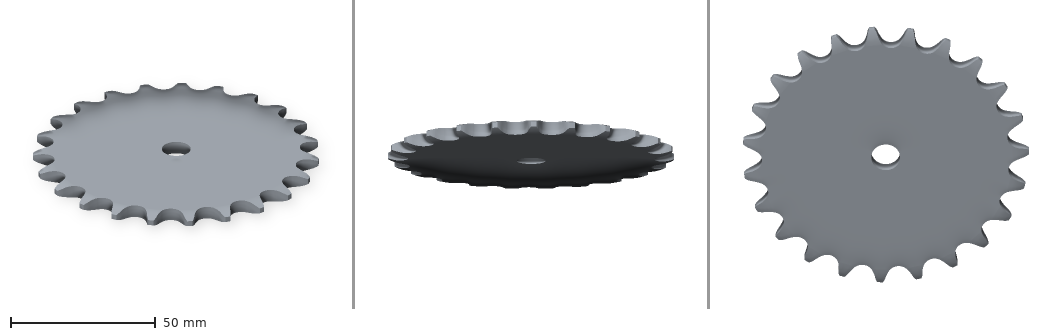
import cadquery as cq
import math

TOOTH_COUNT = 23
CHAIN_PITCH = 12.7
ROLLER_DIAMETER = 7.75
TIP_DIAMETER = 99.0
THICKNESS = 4.5
BORE_DIAMETER = 10.0
FACE_ROUND_RADIUS = 13.0
FACE_ROUND_DEPTH = 1.3

SEAT_ALLOWANCE = 0.0381
SEAT_RADIUS = 0.5025 * ROLLER_DIAMETER + SEAT_ALLOWANCE
WORKING_CENTRE_OFFSET = 0.8 * ROLLER_DIAMETER
WORKING_RADIUS = WORKING_CENTRE_OFFSET + SEAT_RADIUS
TOPPING_CENTRE_OFFSET = 1.4 * ROLLER_DIAMETER
SEAT_ANGLE = math.radians(35 + 60 / TOOTH_COUNT)
WORKING_ANGLE = math.radians(18 - 56 / TOOTH_COUNT)

TOOTH_ANGLE = 2 * math.pi / TOOTH_COUNT
PITCH_RADIUS = CHAIN_PITCH / 2 / math.sin(TOOTH_ANGLE / 2)
TIP_RADIUS = TIP_DIAMETER / 2
FIRST_GAP_ANGLE = math.pi / 2


def polar(centre, radius, angle):
    """Point at a distance and direction from a centre."""
    return (centre[0] + radius * math.cos(angle), centre[1] + radius * math.sin(angle))


def mirrored(point):
    """Point reflected in the Y axis."""
    return (-point[0], point[1])


def gap_cutter():
    """Tooth gap centred on +Y, running out past the tooth tips."""
    seat_centre = (0, PITCH_RADIUS)
    seat_bottom = (0, PITCH_RADIUS - SEAT_RADIUS)
    working_centre = polar(seat_centre, WORKING_CENTRE_OFFSET, math.pi - SEAT_ANGLE)
    seat_end = polar(working_centre, WORKING_RADIUS, -SEAT_ANGLE)
    working_mid = polar(working_centre, WORKING_RADIUS, WORKING_ANGLE / 2 - SEAT_ANGLE)
    normal_angle = WORKING_ANGLE - SEAT_ANGLE
    flank_start = polar(working_centre, WORKING_RADIUS, normal_angle)

    topping_centre = polar(seat_centre, TOPPING_CENTRE_OFFSET, -TOOTH_ANGLE / 2)
    offset_x = topping_centre[0] - flank_start[0]
    offset_y = topping_centre[1] - flank_start[1]
    topping_radius = offset_x * math.cos(normal_angle) + offset_y * math.sin(normal_angle)
    topping_start_angle = normal_angle + math.pi
    topping_start = polar(topping_centre, topping_radius, topping_start_angle)

    centre_distance = math.hypot(*topping_centre)
    cos_tip = TIP_RADIUS**2 - centre_distance**2 - topping_radius**2
    cos_tip /= 2 * centre_distance * topping_radius
    topping_end_angle = math.atan2(topping_centre[1], topping_centre[0]) + math.acos(cos_tip)
    topping_mid = polar(topping_centre, topping_radius, (topping_start_angle + topping_end_angle) / 2)
    tip_corner = polar(topping_centre, topping_radius, topping_end_angle)
    outside = (tip_corner[0], TIP_RADIUS + ROLLER_DIAMETER)

    return (
        cq.Workplane("XY")
        .moveTo(*mirrored(seat_end))
        .threePointArc(seat_bottom, seat_end)
        .threePointArc(working_mid, flank_start)
        .lineTo(*topping_start)
        .threePointArc(topping_mid, tip_corner)
        .lineTo(*outside)
        .lineTo(*mirrored(outside))
        .lineTo(*mirrored(tip_corner))
        .threePointArc(mirrored(topping_mid), mirrored(topping_start))
        .lineTo(*mirrored(flank_start))
        .threePointArc(mirrored(working_mid), mirrored(seat_end))
        .close()
        .extrude(THICKNESS)
    )


def blank():
    """Disc with a bore, its sides rounded off towards the rim."""
    arc_drop = FACE_ROUND_RADIUS - FACE_ROUND_DEPTH
    face_radius = TIP_RADIUS - math.sqrt(FACE_ROUND_RADIUS**2 - arc_drop**2)
    half_sweep = math.acos(arc_drop / FACE_ROUND_RADIUS) / 2
    lower_mid = polar((face_radius, FACE_ROUND_RADIUS), FACE_ROUND_RADIUS, half_sweep - math.pi / 2)
    upper_mid = (lower_mid[0], THICKNESS - lower_mid[1])
    bore_radius = BORE_DIAMETER / 2

    return (
        cq.Workplane("XZ")
        .moveTo(bore_radius, 0)
        .lineTo(face_radius, 0)
        .threePointArc(lower_mid, (TIP_RADIUS, FACE_ROUND_DEPTH))
        .lineTo(TIP_RADIUS, THICKNESS - FACE_ROUND_DEPTH)
        .threePointArc(upper_mid, (face_radius, THICKNESS))
        .lineTo(bore_radius, THICKNESS)
        .close()
        .revolve(360, (0, 0, 0), (0, 1, 0))
    )


def sprocket():
    """Blank with the tooth gaps cut at equal angles."""
    body = blank()
    cutter = gap_cutter()
    for index in range(TOOTH_COUNT):
        turn = math.degrees(index * TOOTH_ANGLE)
        body = body.cut(cutter.rotate((0, 0, 0), (0, 0, 1), turn))
    return body


result = sprocket()